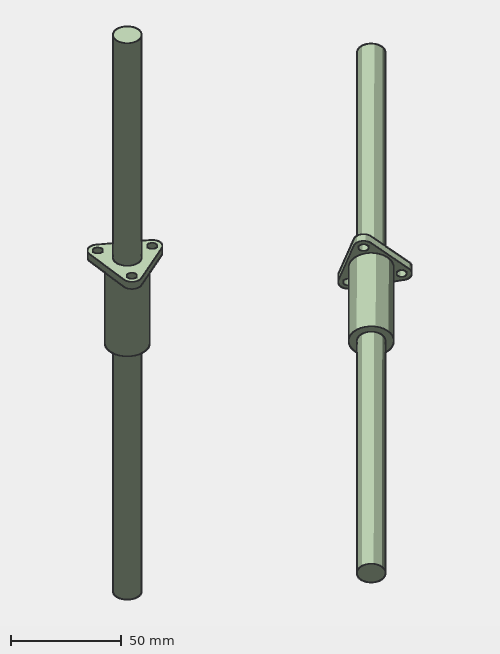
import cadquery as cq
import math

rod_length = 310.0
rod_diameter = 13.0

nut_top = 186.0
nut_length = 47.7
flange_thickness = 4.0
sleeve_diameter = 20.5
corner_spacing = 24.8
corner_radius = 4.5
hole_diameter = 4.5

corner_circle_radius = corner_spacing / math.sqrt(3)
corner_angles = [90, 210, 330]
corner_centres = [
    (
        corner_circle_radius * math.cos(math.radians(angle)),
        corner_circle_radius * math.sin(math.radians(angle)),
    )
    for angle in corner_angles
]


def make_rod():
    """Plain round bar standing on the XY plane."""
    return cq.Workplane("XY").circle(rod_diameter / 2).extrude(rod_length)


def make_flange():
    """Triangular plate with rounded corners and a screw hole at each corner centre."""
    plate = (
        cq.Workplane("XY")
        .workplane(offset=nut_top - flange_thickness)
        .polyline(corner_centres)
        .close()
        .offset2D(corner_radius, "arc")
        .extrude(flange_thickness)
    )
    return (
        plate.faces(">Z")
        .workplane(origin=(0, 0, nut_top))
        .pushPoints(corner_centres)
        .hole(hole_diameter)
    )


def make_nut():
    """Sleeve hanging below the flange, both bored through to fit the rod."""
    sleeve = (
        cq.Workplane("XY")
        .workplane(offset=nut_top - nut_length)
        .circle(sleeve_diameter / 2)
        .extrude(nut_length - flange_thickness)
    )
    return make_flange().union(sleeve).cut(make_rod())


rod = make_rod()
nut = make_nut()

result = cq.Compound.makeCompound([rod.val(), *nut.vals()])